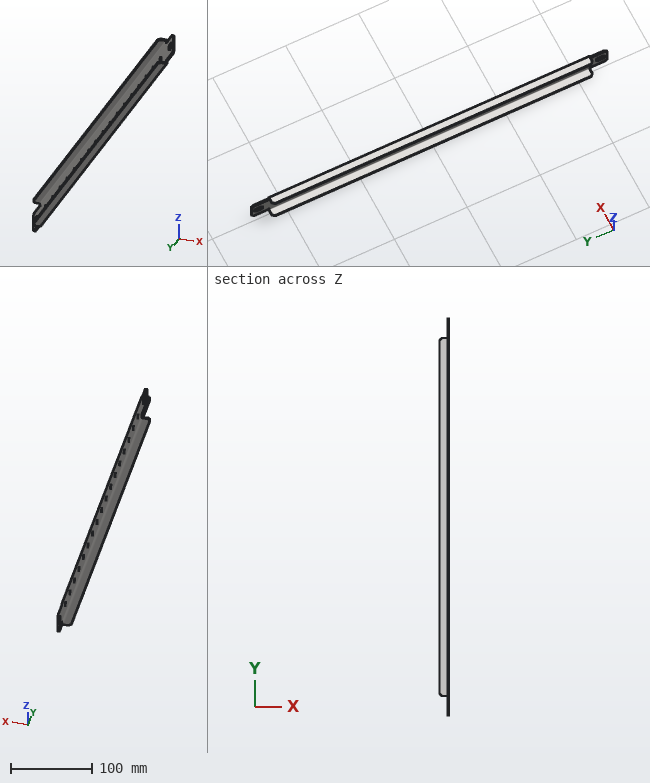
import cadquery as cq

rail_length = 488.0
rail_depth = 11.5
rail_height = 34.0
sheet_thickness = 2.0

bend_inner_radius = 1.0
bend_outer_radius = bend_inner_radius + sheet_thickness

tab_length = 24.0
tab_height = 25.0
tab_corner_chamfer = 3.05
flange_length = rail_length - 2 * tab_length
flange_corner_chamfer = 3.05

slot_length = 12.0
slot_width = 7.0
slot_end_distance = 9.5
slot_center_y = rail_length / 2 - slot_end_distance

hole_count = 17
hole_diameter = 5.0
hole_row_length = 400.0
hole_pitch = hole_row_length / (hole_count - 1)

web_outer_x = rail_depth / 2
web_inner_x = web_outer_x - sheet_thickness


def make_channel():
    """Bent U-shaped channel with chamfered corners on the free flange edges."""
    outer = (
        cq.Workplane("XY")
        .box(rail_depth, flange_length, rail_height)
        .edges("|Y and >X")
        .fillet(bend_outer_radius)
    )
    cavity = (
        cq.Workplane("XY")
        .box(rail_depth, flange_length, rail_height - 2 * sheet_thickness)
        .edges("|Y and >X")
        .fillet(bend_inner_radius)
        .translate((-sheet_thickness, 0, 0))
    )
    return outer.cut(cavity).edges("|Z and <X").chamfer(flange_corner_chamfer)


def make_tab_strip():
    """Full-length flat strip whose ends form the two chamfered tabs."""
    return (
        cq.Workplane("XY")
        .box(sheet_thickness, rail_length, tab_height)
        .edges("|X")
        .chamfer(tab_corner_chamfer)
        .translate((web_inner_x + sheet_thickness / 2, 0, 0))
    )


def make_web_openings():
    """Cutters for the row of round holes and for the slot in each tab."""
    web_plane = cq.Workplane("YZ", origin=(web_inner_x, 0, 0))
    holes = (
        web_plane.rarray(hole_pitch, 5, hole_count, 1)
        .circle(hole_diameter / 2)
        .extrude(sheet_thickness)
    )
    slots = (
        web_plane.pushPoints([(-slot_center_y, 0), (slot_center_y, 0)])
        .slot2D(slot_length, slot_width)
        .extrude(sheet_thickness)
    )
    return holes.add(slots).combine()


result = make_channel().union(make_tab_strip()).cut(make_web_openings())